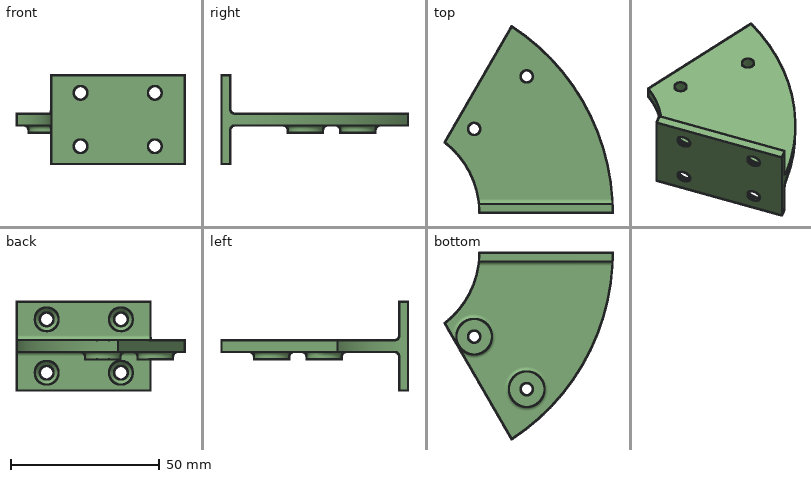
import cadquery as cq
import math

depth = 62.85
inner_radius = 30.0
outer_radius = 75.0
slant_angle = 60.0

flange_height = 30.0
flange_thickness = 3.0
web_thickness = 4.0
root_fillet = 1.5

flange_holes_center_x = 52.35
flange_hole_diameter = 4.5
flange_hole_spacing_x = 25.0
flange_hole_spacing_z = 18.0
countersink_depth = 2.0
countersink_angle = 82.0

web_hole_diameter = 4.0
web_hole_angle = 45.0
web_hole_radii = (40.0, 65.0)
boss_diameter = 12.0
boss_height = 2.5
boss_fillet = 1.45

outer_corner_angle = math.degrees(math.asin(depth / outer_radius))
slant_offset = outer_radius * math.sin(math.radians(slant_angle - outer_corner_angle))
inner_corner_angle = slant_angle - math.degrees(math.asin(slant_offset / inner_radius))


def polar(radius, angle):
    """Point at a radius and an angle in degrees about the sector centre."""
    return radius * math.cos(math.radians(angle)), radius * math.sin(math.radians(angle))


def sector_prism():
    """Full-height prism that trims every feature to the sector outline."""
    return (
        cq.Workplane("XY")
        .workplane(offset=-flange_height / 2)
        .moveTo(inner_radius, 0)
        .lineTo(outer_radius, 0)
        .threePointArc(polar(outer_radius, outer_corner_angle / 2), polar(outer_radius, outer_corner_angle))
        .lineTo(*polar(inner_radius, inner_corner_angle))
        .threePointArc(polar(inner_radius, inner_corner_angle / 2), (inner_radius, 0))
        .close()
        .extrude(flange_height)
    )


def tee_section():
    """Flange and web as one T profile, with fillets in both inner corners."""
    half_web = web_thickness / 2
    half_flange = flange_height / 2
    return (
        cq.Workplane("YZ")
        .moveTo(0, -half_flange)
        .lineTo(flange_thickness, -half_flange)
        .lineTo(flange_thickness, -half_web - root_fillet)
        .radiusArc((flange_thickness + root_fillet, -half_web), root_fillet)
        .lineTo(depth, -half_web)
        .lineTo(depth, half_web)
        .lineTo(flange_thickness + root_fillet, half_web)
        .radiusArc((flange_thickness, half_web + root_fillet), root_fillet)
        .lineTo(flange_thickness, half_flange)
        .lineTo(0, half_flange)
        .close()
        .extrude(outer_radius)
    )


def bosses():
    """Plain round bosses reaching down from the middle of the web."""
    return (
        cq.Workplane("XY")
        .pushPoints(web_hole_centers)
        .circle(boss_diameter / 2)
        .extrude(-web_thickness / 2 - boss_height)
    )


def is_boss_root(edge):
    """True for the circle where a boss meets the underside of the web."""
    is_boss_circle = edge.geomType() == "CIRCLE" and math.isclose(edge.radius(), boss_diameter / 2)
    return is_boss_circle and math.isclose(edge.Center().z, -web_thickness / 2)


def flange_holes():
    """Four through holes, countersunk from the web side of the flange."""
    hole_radius = flange_hole_diameter / 2
    cone_start = flange_thickness - countersink_depth
    cone_radius = hole_radius + countersink_depth * math.tan(math.radians(countersink_angle / 2))
    cutter = (
        cq.Workplane("XY")
        .lineTo(hole_radius, 0)
        .lineTo(hole_radius, cone_start)
        .lineTo(cone_radius, flange_thickness)
        .lineTo(0, flange_thickness)
        .close()
        .revolve(360, (0, 0), (0, 1))
    )
    holes = cq.Workplane("XY")
    for side_x in (-0.5, 0.5):
        for side_z in (-0.5, 0.5):
            x = flange_holes_center_x + side_x * flange_hole_spacing_x
            z = side_z * flange_hole_spacing_z
            holes = holes.add(cutter.translate((x, 0, z)))
    return holes.combine()


def web_holes():
    """Through holes along the bosses and the web."""
    return (
        cq.Workplane("XY")
        .workplane(offset=-flange_height / 2)
        .pushPoints(web_hole_centers)
        .circle(web_hole_diameter / 2)
        .extrude(flange_height)
    )


web_hole_centers = [polar(radius, web_hole_angle) for radius in web_hole_radii]

body = tee_section().union(bosses()).intersect(sector_prism())

boss_roots = [edge for edge in body.edges().vals() if is_boss_root(edge)]
body = body.newObject(boss_roots).fillet(boss_fillet)

result = body.cut(flange_holes()).cut(web_holes())